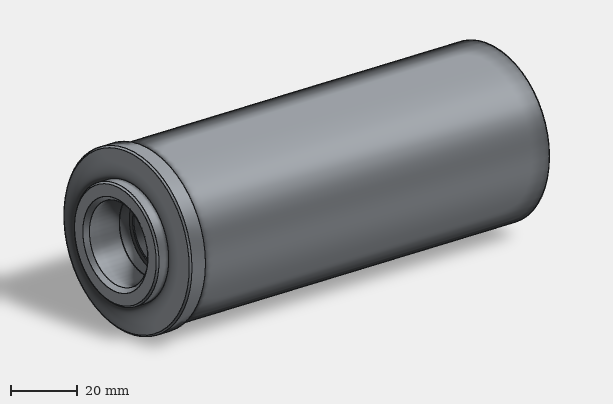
import cadquery as cq

total_length = 147.5
flange_diameter = 59.0
body_diameter = 56.6
nose_diameter = 39.0
nose_length = 4.4
flange_thickness = 5.9
edge_chamfer = 0.6

mouth_diameter = 30.0
front_bore_diameter = 27.1
mouth_chamfer = (mouth_diameter - front_bore_diameter) / 2
relief_depth = 13.3
relief_diameter = 27.5
shoulder_depth = 17.3
through_diameter = 23.9
through_chamfer = 0.3

front_face = -total_length / 2
rear_face = total_length / 2


def cylinder(diameter, start, end):
    """Solid cylinder on the Y axis between two Y positions."""
    plane = cq.Workplane("XZ", origin=(0, start, 0))
    return plane.circle(diameter / 2).extrude(start - end)


def make_outer_shape():
    """Nose, flange and long body, each with a chamfered outer edge."""
    flange_front = front_face + nose_length
    body_front = flange_front + flange_thickness
    nose = cylinder(nose_diameter, front_face, flange_front).faces("<Y").chamfer(edge_chamfer)
    flange = cylinder(flange_diameter, flange_front, body_front).faces("<Y").chamfer(edge_chamfer)
    body = cylinder(body_diameter, body_front, rear_face).faces(">Y").chamfer(edge_chamfer)
    return nose.union(flange).union(body)


def make_bore():
    """Solid of the bore: a half profile of radius against Y, turned about Y."""
    mouth_radius = mouth_diameter / 2
    front_bore_radius = front_bore_diameter / 2
    relief_radius = relief_diameter / 2
    through_radius = through_diameter / 2
    shoulder = front_face + shoulder_depth
    profile = (
        cq.Workplane("XY")
        .moveTo(0, front_face)
        .lineTo(mouth_radius, front_face)
        .lineTo(front_bore_radius, front_face + mouth_chamfer)
        .lineTo(front_bore_radius, front_face + relief_depth)
        .lineTo(relief_radius, front_face + relief_depth)
        .lineTo(relief_radius, shoulder)
        .lineTo(through_radius + through_chamfer, shoulder)
        .lineTo(through_radius, shoulder + through_chamfer)
        .lineTo(through_radius, rear_face)
        .lineTo(0, rear_face)
        .close()
    )
    return profile.revolve(360, (0, 0, 0), (0, 1, 0))


result = make_outer_shape().cut(make_bore())